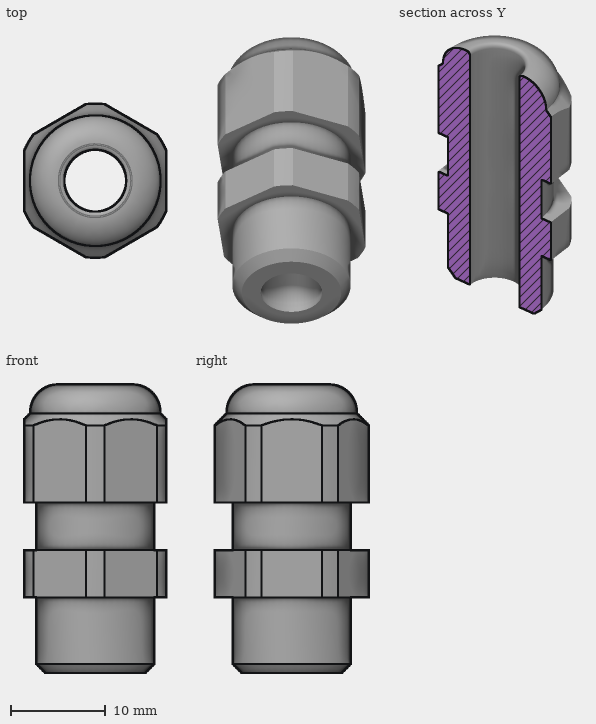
import cadquery as cq
import math

thread_length = 8.0
body_hex_height = 5.0
neck_length = 5.0
total_height = 30.5

thread_diameter = 12.5
thread_chamfer = 1.0
dome_diameter = 13.8
dome_radius = 3.0
bore_diameter = 6.5
bore_mouth_radius = 0.5

across_flats = 15.0
across_corners = 16.3
hex_sides = 6
half_sector_degrees = 180 / hex_sides

shoulder_band = 0.1

body_hex_bottom = thread_length
body_hex_top = body_hex_bottom + body_hex_height
cap_bottom = body_hex_top + neck_length
dome_bottom = total_height - dome_radius
shoulder_top = dome_bottom - shoulder_band
shoulder_drop = (across_corners - dome_diameter) / 2
shoulder_bottom = shoulder_top - shoulder_drop


def hex_prism(bottom, top):
    """Hexagonal prism with two flats normal to X."""
    sharp_corner_diameter = across_flats / math.cos(math.radians(half_sector_degrees))
    return (
        cq.Workplane("XY", origin=(0, 0, bottom))
        .transformed(rotate=(0, 0, half_sector_degrees))
        .polygon(hex_sides, sharp_corner_diameter)
        .extrude(top - bottom)
    )


def cylinder(diameter, bottom, top):
    return cq.Workplane("XY", origin=(0, 0, bottom)).circle(diameter / 2).extrude(top - bottom)


def make_threaded_body():
    """Cylinder from the chamfered bottom end up to the cap."""
    return cylinder(thread_diameter, 0, cap_bottom).faces("<Z").chamfer(thread_chamfer)


def make_body_hex():
    blank = cylinder(across_corners, body_hex_bottom, body_hex_top)
    return blank.intersect(hex_prism(body_hex_bottom, body_hex_top))


def make_cap():
    """Hexagonal cap nut with a conical shoulder and a rounded dome."""
    corner_radius = across_corners / 2
    dome_outer = dome_diameter / 2
    dome_crown = dome_outer - dome_radius
    arc_reach = dome_radius * math.sin(math.pi / 4)
    turned = (
        cq.Workplane("XZ")
        .moveTo(0, cap_bottom)
        .lineTo(corner_radius, cap_bottom)
        .lineTo(corner_radius, shoulder_bottom)
        .lineTo(dome_outer, shoulder_top)
        .lineTo(dome_outer, dome_bottom)
        .threePointArc((dome_crown + arc_reach, dome_bottom + arc_reach), (dome_crown, total_height))
        .lineTo(0, total_height)
        .close()
        .revolve(360, (0, 0, 0), (0, 1, 0))
    )
    return turned.intersect(hex_prism(cap_bottom, total_height))


def make_bore():
    """Through bore whose top mouth flares out with a rounded edge."""
    bore_radius = bore_diameter / 2
    mouth_edge = bore_radius + bore_mouth_radius
    mouth_bottom = total_height - bore_mouth_radius
    arc_reach = bore_mouth_radius * math.sin(math.pi / 4)
    return (
        cq.Workplane("XZ")
        .moveTo(0, 0)
        .lineTo(bore_radius, 0)
        .lineTo(bore_radius, mouth_bottom)
        .threePointArc((mouth_edge - arc_reach, mouth_bottom + arc_reach), (mouth_edge, total_height))
        .lineTo(0, total_height)
        .close()
        .revolve(360, (0, 0, 0), (0, 1, 0))
    )


result = make_threaded_body().union(make_body_hex()).union(make_cap()).cut(make_bore())